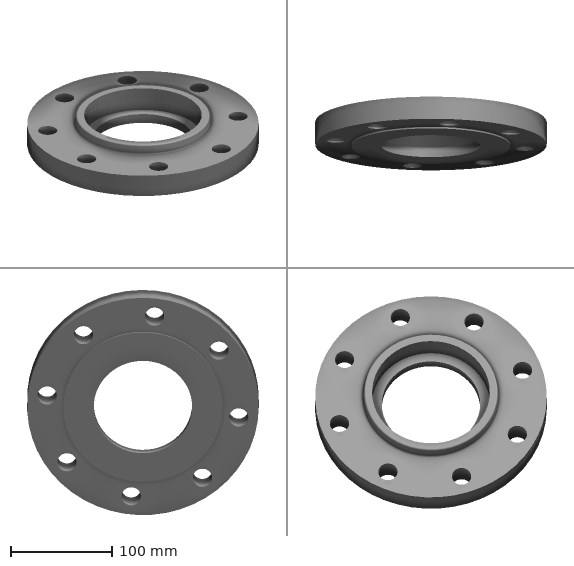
import cadquery as cq

flange_diameter = 228.5
flange_thickness = 22.5

face_diameter = 157.2
face_height = 1.5

overall_height = 33.4
hub_base_diameter = 134.8
hub_top_diameter = 131.6
hub_fillet_radius = 1.5

bore_diameter = 97.1
socket_diameter = 116.0
socket_depth = 23.8

bolt_count = 8
bolt_hole_diameter = 19.0
bolt_circle_diameter = 190.4

flange_top = face_height + flange_thickness
hub_height = overall_height - flange_top


def disc(diameter, height, bottom):
    """Solid cylinder on the Z axis, standing on the height 'bottom'."""
    return cq.Workplane("XY").workplane(offset=bottom).circle(diameter / 2).extrude(height)


def hub():
    """Solid cone frustum that stands on the flange disc."""
    base_radius = hub_base_diameter / 2
    top_radius = hub_top_diameter / 2
    return cq.Workplane(
        cq.Solid.makeCone(base_radius, top_radius, hub_height, pnt=cq.Vector(0, 0, flange_top))
    )


def bolt_holes():
    """Cylinders on the bolt circle that pass through the flange disc."""
    return (
        cq.Workplane("XY")
        .polarArray(bolt_circle_diameter / 2, 0, 360, bolt_count)
        .circle(bolt_hole_diameter / 2)
        .extrude(flange_top)
    )


body = disc(face_diameter, face_height, 0)
body = body.union(disc(flange_diameter, flange_thickness, face_height))
body = body.union(hub())

body = body.faces(">Z").edges().fillet(hub_fillet_radius)

inner_edge = cq.selectors.RadiusNthSelector(0)
body = body.faces("+Z").faces("<Z").edges(inner_edge).fillet(hub_fillet_radius)

body = body.cut(disc(bore_diameter, overall_height, 0))
body = body.cut(disc(socket_diameter, socket_depth, overall_height - socket_depth))
result = body.cut(bolt_holes())